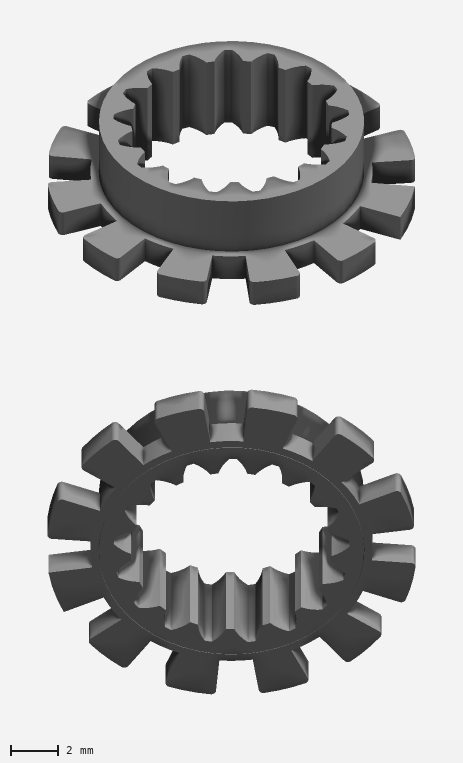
import cadquery as cq
import math

TOTAL_HEIGHT = 3.8
RING_HEIGHT = 1.19

RING_TIP_DIAMETER = 15.45
RING_ROOT_RADIUS = 5.89
RING_BORE_DIAMETER = 11.1
RING_TOOTH_COUNT = 12
RING_TOOTH_HALF_ANGLE = 8.2
RING_TIP_FILLET = 0.2
SHARP_TOOTH = 1

SLEEVE_DIAMETER = 11.06
SPLINE_COUNT = 17
SPLINE_TIP_RADIUS = 4.19
SPLINE_MID_RADIUS = 4.55
SPLINE_ROOT_RADIUS = 4.93
SPACE_TIP_HALF_WIDTH = 0.6
SPACE_MID_HALF_WIDTH = 0.45
SPACE_ROOT_HALF_WIDTH = 0.15
FIRST_SPACE_ANGLE = 180.0


def polar(radius, angle):
    """Point at the given radius and angle in degrees."""
    radians = math.radians(angle)
    return (radius * math.cos(radians), radius * math.sin(radians))


def ring_tooth(index):
    """Radial tooth, rooted inside the ring and rounded at the tip corners unless it is the sharp one."""
    tip_radius = RING_TIP_DIAMETER / 2
    inner_radius = (RING_BORE_DIAMETER / 2 + RING_ROOT_RADIUS) / 2
    tooth = (
        cq.Workplane("XY")
        .moveTo(*polar(inner_radius, -RING_TOOTH_HALF_ANGLE))
        .lineTo(*polar(tip_radius, -RING_TOOTH_HALF_ANGLE))
        .threePointArc((tip_radius, 0), polar(tip_radius, RING_TOOTH_HALF_ANGLE))
        .lineTo(*polar(inner_radius, RING_TOOTH_HALF_ANGLE))
        .threePointArc((inner_radius, 0), polar(inner_radius, -RING_TOOTH_HALF_ANGLE))
        .close()
        .extrude(RING_HEIGHT)
    )
    if index != SHARP_TOOTH:
        tip_edges = cq.selectors.BoxSelector(
            (RING_ROOT_RADIUS, -tip_radius, -RING_HEIGHT),
            (tip_radius, tip_radius, 2 * RING_HEIGHT),
        )
        tooth = tooth.edges("|Z").edges(tip_edges).fillet(RING_TIP_FILLET)
    return tooth.rotate((0, 0, 0), (0, 0, 1), index * 360 / RING_TOOTH_COUNT)


def make_toothed_ring():
    """Flat ring with outward teeth and a plain bore for the sleeve."""
    ring = cq.Workplane("XY").circle(RING_ROOT_RADIUS).extrude(RING_HEIGHT)
    for index in range(RING_TOOTH_COUNT):
        ring = ring.union(ring_tooth(index))
    bore = cq.Workplane("XY").circle(RING_BORE_DIAMETER / 2).extrude(RING_HEIGHT)
    return ring.cut(bore)


def half_angle(half_width, radius):
    """Angle in degrees spanned by a half width at a radius."""
    return math.degrees(math.asin(half_width / radius))


def make_spline_bore():
    """Solid filling the splined opening: spaces with curved flanks, joined by arcs along the spline tips."""
    pitch = 360 / SPLINE_COUNT
    tip = half_angle(SPACE_TIP_HALF_WIDTH, SPLINE_TIP_RADIUS)
    mid = half_angle(SPACE_MID_HALF_WIDTH, SPLINE_MID_RADIUS)
    root = half_angle(SPACE_ROOT_HALF_WIDTH, SPLINE_ROOT_RADIUS)

    outline = cq.Workplane("XY").moveTo(*polar(SPLINE_TIP_RADIUS, FIRST_SPACE_ANGLE - tip))
    for index in range(SPLINE_COUNT):
        centre = FIRST_SPACE_ANGLE + index * pitch
        outline = (
            outline
            .threePointArc(polar(SPLINE_MID_RADIUS, centre - mid), polar(SPLINE_ROOT_RADIUS, centre - root))
            .threePointArc(polar(SPLINE_ROOT_RADIUS, centre), polar(SPLINE_ROOT_RADIUS, centre + root))
            .threePointArc(polar(SPLINE_MID_RADIUS, centre + mid), polar(SPLINE_TIP_RADIUS, centre + tip))
            .threePointArc(
                polar(SPLINE_TIP_RADIUS, centre + pitch / 2),
                polar(SPLINE_TIP_RADIUS, centre + pitch - tip),
            )
        )
    return outline.close().extrude(TOTAL_HEIGHT)


def make_splined_sleeve():
    """Round sleeve with internal splines over its full height."""
    sleeve = cq.Workplane("XY").circle(SLEEVE_DIAMETER / 2).extrude(TOTAL_HEIGHT)
    return sleeve.cut(make_spline_bore())


toothed_ring = make_toothed_ring()
splined_sleeve = make_splined_sleeve()

result = cq.Compound.makeCompound([toothed_ring.solids().val(), splined_sleeve.solids().val()])